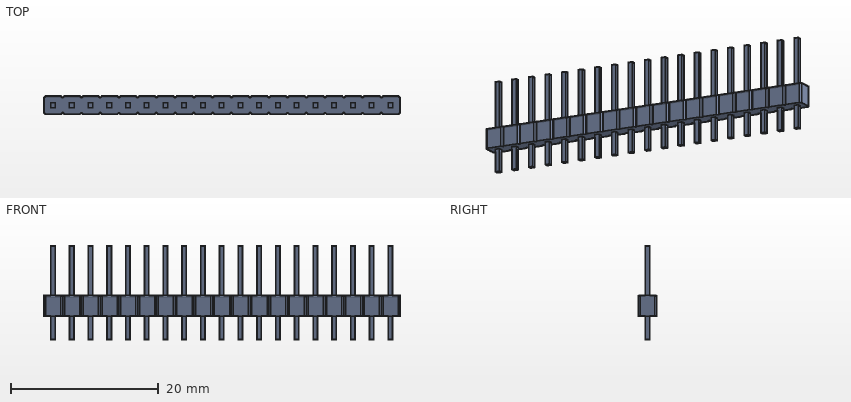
import cadquery as cq


LENGTH = 48.25
PIN_COUNT = 19
PITCH = LENGTH / PIN_COUNT

BODY_DEPTH = 2.5
BODY_HEIGHT = 2.8
CORNER_CHAMFER = 0.25
TOP_FILLET = 0.2

PIN_SIZE = 0.65
PIN_LENGTH = 12.7
PIN_DROP = 3.2
PIN_OFFSET = -0.05


def block(size_x, size_y, size_z):
    """Box centred on the Z axis, standing on Z = 0."""
    return cq.Workplane("XY").box(size_x, size_y, size_z, centered=(True, True, False))


def cell_body():
    """Insulator around one pin: chamfered corners and rounded long top edges."""
    chamfered = block(PITCH, BODY_DEPTH, BODY_HEIGHT).edges("|Z").chamfer(CORNER_CHAMFER)
    rounded = block(PITCH, BODY_DEPTH, BODY_HEIGHT).edges("|X and >Z").fillet(TOP_FILLET)
    return chamfered.intersect(rounded)


def pin():
    """Square pin passing through one cell."""
    return block(PIN_SIZE, PIN_SIZE, PIN_LENGTH).translate((PIN_OFFSET, 0, -PIN_DROP))


cell = cell_body().union(pin())
first_cell_x = (PITCH - LENGTH) / 2

result = cq.Workplane("XY")
for index in range(PIN_COUNT):
    result = result.union(cell.translate((first_cell_x + index * PITCH, 0, 0)))
result = result.clean()